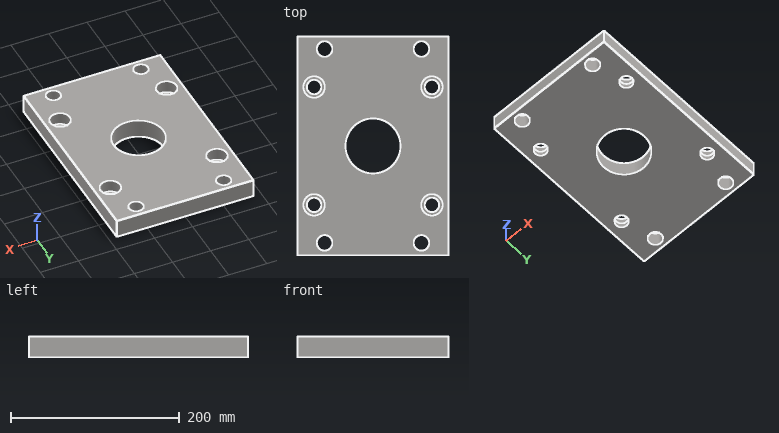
import cadquery as cq

width = 180.0
length = 260.0
thickness = 25.0
edge_chamfer = 0.5

bore_diameter = 65.0

end_hole_diameter = 18.2
end_hole_spacing_x = 115.0
end_hole_spacing_y = 230.0

screw_spacing = 140.0
screw_diameter = 17.0
counterbore_diameter = 25.5
counterbore_depth = 16.5

plate = cq.Workplane("XY").box(width, length, thickness).edges().chamfer(edge_chamfer)

top_plane = cq.Workplane("XY").workplane(offset=thickness / 2)


def drill(points, diameter, depth):
    """Cylinders reaching down from the top face at the given points."""
    return top_plane.pushPoints(points).circle(diameter / 2).extrude(-depth)


def corners(spacing_x, spacing_y):
    """Four points of a rectangle centred on the plate."""
    return [(sx * spacing_x / 2, sy * spacing_y / 2) for sx in (-1, 1) for sy in (-1, 1)]


end_holes = corners(end_hole_spacing_x, end_hole_spacing_y)
screw_holes = corners(screw_spacing, screw_spacing)

result = (
    plate
    .cut(drill([(0, 0)], bore_diameter, thickness))
    .cut(drill(end_holes, end_hole_diameter, thickness))
    .cut(drill(screw_holes, screw_diameter, thickness))
    .cut(drill(screw_holes, counterbore_diameter, counterbore_depth))
)